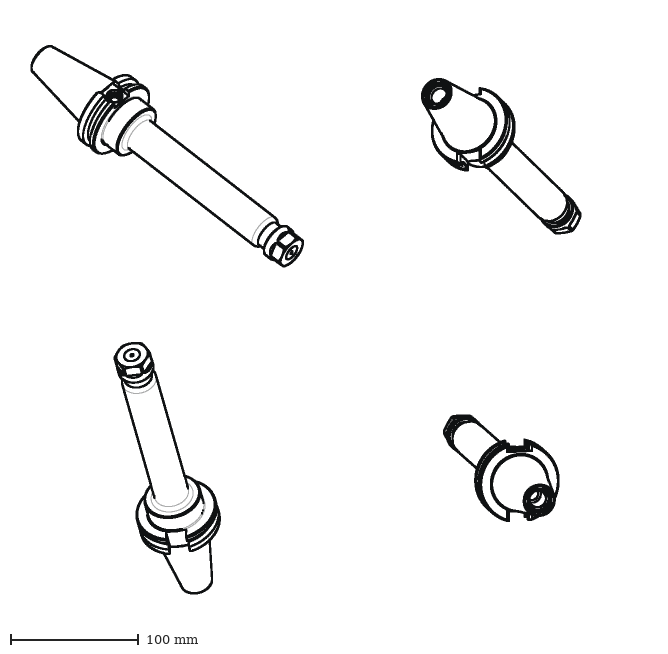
import cadquery as cq
import math


GAUGE_DIA = 44.5
TAPER_RATE = 7 / 24
TAPER_LENGTH = 68.1
TAPER_END_CHAMFER = 1.0

FLANGE_DIA = 63.3
FLANGE_FRONT = 1.0
FLANGE_BACK = 19.0
FLANGE_CHAMFER = 0.8
RELIEF_DIA = 46.1
GROOVE_CENTER = 11.0
GROOVE_MOUTH = 7.3
GROOVE_FLOOR = 3.8
GROOVE_DIA = 56.0

SLOT_WIDTH = 16.0
SLOT_FLOOR_TOP = 25.0
SLOT_FLOOR_BOTTOM = 22.5
SLOT_CHAMFER = 2.0

SIDE_HOLE_MOUTH_DIA = 12.5
SIDE_HOLE_DIA = 9.8
SIDE_HOLE_DEPTH = 4.0
SIDE_PILOT_DIA = 8.0
SIDE_PILOT_DEPTH = 6.8
DRILL_TIP_HALF_ANGLE = math.radians(59)

COLLAR_DIA = 44.5
COLLAR_END = 35.3
COLLAR_CHAMFER = 0.8
COLLAR_ROOT_FILLET = 0.8
SHANK_DIA = 27.5
SHANK_FILLET = 3.0
SHANK_END = 177.3
NECK_DIA = 22.0
SHANK_END_RADIUS = 4.0

NUT_START = 185.7
NUT_DIA = 28.0
NUT_ACROSS_FLATS = 25.0
NUT_FLAT_START = 193.8
LONG_FLAT_EXTRA = 1.5
LONG_FLAT_INDEX = 5
NUT_END = 271.5 - TAPER_LENGTH
NUT_BACK_CHAMFER = 0.8
NUT_FRONT_CHAMFER = 1.0
HEX_SIDES = 6

NOSE_DIA = 20.5
NOSE_END = 199.3

BORE_MOUTH_DIA = 18.7
BORE_DIA = 16.5
BORE_DEPTH = 5.0
THREAD_DIA = 13.3
THREAD_DEPTH = 24.5
THROUGH_DIA = 9.5

COLLET_BACK = 177.0
COLLET_BACK_DIA = 10.0
COLLET_HALF_ANGLE = math.radians(8)
COLLET_FRONT_DIA = 12.5
COLLET_FRONT_LAND = 1.0
COLLET_RELIEF_DIA = 5.7
COLLET_RELIEF_DEPTH = 10.9
TOOL_BORE_DIA = 2.28

COLLET_MAX_RADIUS = COLLET_BACK_DIA / 2 + (NOSE_END - COLLET_BACK) * math.tan(COLLET_HALF_ANGLE)


def revolve_about_x(points):
    """Turn a closed (x, radius) outline about the X axis."""
    return cq.Workplane("XY").polyline(points).close().revolve(360, (0, 0, 0), (1, 0, 0))


def cylinder_x(diameter, start, end):
    return cq.Workplane("YZ", origin=(start, 0, 0)).circle(diameter / 2).extrude(end - start)


def taper():
    end_radius = GAUGE_DIA / 2 - TAPER_LENGTH * TAPER_RATE / 2
    end = -TAPER_LENGTH
    return revolve_about_x([
        (end, 0),
        (end, end_radius - TAPER_END_CHAMFER),
        (end + TAPER_END_CHAMFER, end_radius + TAPER_END_CHAMFER * TAPER_RATE / 2),
        (0, GAUGE_DIA / 2),
        (FLANGE_FRONT, RELIEF_DIA / 2),
        (FLANGE_FRONT, 0),
    ])


def drive_slot(floor, side):
    """Cutter for one slot, open away from the axis; side is +1 for +Z and -1 for -Z."""
    half = SLOT_WIDTH / 2
    mouth = half + SLOT_CHAMFER
    chamfer_end = FLANGE_FRONT + SLOT_CHAMFER
    outline = [
        (FLANGE_FRONT, -mouth),
        (chamfer_end, -half),
        (FLANGE_BACK, -half),
        (FLANGE_BACK, half),
        (chamfer_end, half),
        (FLANGE_FRONT, mouth),
    ]
    plane = cq.Workplane("XY", origin=(0, 0, side * floor))
    return plane.polyline(outline).close().extrude(side * FLANGE_DIA / 2)


def side_hole():
    """Cutter for the countersunk, stepped blind hole below the +Z slot floor."""
    mouth_radius = SIDE_HOLE_MOUTH_DIA / 2
    hole_radius = SIDE_HOLE_DIA / 2
    pilot_radius = SIDE_PILOT_DIA / 2
    countersink = mouth_radius - hole_radius
    tip = pilot_radius / math.tan(DRILL_TIP_HALF_ANGLE)
    outline = [
        (0, 0),
        (mouth_radius, 0),
        (hole_radius, -countersink),
        (hole_radius, -SIDE_HOLE_DEPTH),
        (pilot_radius, -SIDE_HOLE_DEPTH),
        (pilot_radius, -SIDE_PILOT_DEPTH),
        (0, -SIDE_PILOT_DEPTH - tip),
    ]
    plane = cq.Workplane("XZ", origin=(GROOVE_CENTER, 0, SLOT_FLOOR_TOP))
    return plane.polyline(outline).close().revolve(360, (0, 0, 0), (0, 1, 0))


def flange():
    outer = FLANGE_DIA / 2
    inner = GROOVE_DIA / 2
    body = revolve_about_x([
        (FLANGE_FRONT, 0),
        (FLANGE_FRONT, outer - FLANGE_CHAMFER),
        (FLANGE_FRONT + FLANGE_CHAMFER, outer),
        (GROOVE_CENTER - GROOVE_MOUTH / 2, outer),
        (GROOVE_CENTER - GROOVE_FLOOR / 2, inner),
        (GROOVE_CENTER + GROOVE_FLOOR / 2, inner),
        (GROOVE_CENTER + GROOVE_MOUTH / 2, outer),
        (FLANGE_BACK - FLANGE_CHAMFER, outer),
        (FLANGE_BACK, outer - FLANGE_CHAMFER),
        (FLANGE_BACK, 0),
    ])
    body = body.cut(drive_slot(SLOT_FLOOR_TOP, 1)).cut(drive_slot(SLOT_FLOOR_BOTTOM, -1))
    return body.cut(side_hole())


def shank():
    """Collar, filleted shank with a rounded end, neck and nose."""
    shank_radius = SHANK_DIA / 2
    neck_radius = NECK_DIA / 2
    collar_radius = COLLAR_DIA / 2
    bow = 1 - math.sqrt(0.5)
    end_angle = math.acos(1 - (shank_radius - neck_radius) / SHANK_END_RADIUS)
    round_start = SHANK_END - SHANK_END_RADIUS * math.sin(end_angle)
    round_middle = (
        round_start + SHANK_END_RADIUS * math.sin(end_angle / 2),
        shank_radius - SHANK_END_RADIUS * (1 - math.cos(end_angle / 2)),
    )
    return (
        cq.Workplane("XY")
        .moveTo(FLANGE_BACK, 0)
        .lineTo(FLANGE_BACK, collar_radius + COLLAR_ROOT_FILLET)
        .threePointArc(
            (FLANGE_BACK + COLLAR_ROOT_FILLET * bow, collar_radius + COLLAR_ROOT_FILLET * bow),
            (FLANGE_BACK + COLLAR_ROOT_FILLET, collar_radius),
        )
        .lineTo(COLLAR_END - COLLAR_CHAMFER, collar_radius)
        .lineTo(COLLAR_END, collar_radius - COLLAR_CHAMFER)
        .lineTo(COLLAR_END, shank_radius + SHANK_FILLET)
        .threePointArc(
            (COLLAR_END + SHANK_FILLET * bow, shank_radius + SHANK_FILLET * bow),
            (COLLAR_END + SHANK_FILLET, shank_radius),
        )
        .lineTo(round_start, shank_radius)
        .threePointArc(round_middle, (SHANK_END, neck_radius))
        .lineTo(NUT_START, neck_radius)
        .lineTo(NUT_START, NOSE_DIA / 2)
        .lineTo(NOSE_END, NOSE_DIA / 2)
        .lineTo(NOSE_END, 0)
        .close()
        .revolve(360, (0, 0, 0), (1, 0, 0))
    )


def rear_bore():
    """Cutter for the countersunk, stepped bore that ends in a cone down to the through bore."""
    start = -TAPER_LENGTH
    countersink = (BORE_MOUTH_DIA - BORE_DIA) / 2
    thread_chamfer = (BORE_DIA - THREAD_DIA) / 2
    thread_end = start + THREAD_DEPTH
    cone_length = (THREAD_DIA - THROUGH_DIA) / 2 / math.tan(DRILL_TIP_HALF_ANGLE)
    return revolve_about_x([
        (start, 0),
        (start, BORE_MOUTH_DIA / 2),
        (start + countersink, BORE_DIA / 2),
        (start + BORE_DEPTH, BORE_DIA / 2),
        (start + BORE_DEPTH + thread_chamfer, THREAD_DIA / 2),
        (thread_end, THREAD_DIA / 2),
        (thread_end + cone_length, THROUGH_DIA / 2),
        (COLLET_BACK, THROUGH_DIA / 2),
        (COLLET_BACK, 0),
    ])


def collet_blank():
    """The solid envelope of the collet, which also shapes its seats in holder and nut."""
    front_radius = COLLET_FRONT_DIA / 2
    return revolve_about_x([
        (COLLET_BACK, 0),
        (COLLET_BACK, COLLET_BACK_DIA / 2),
        (NOSE_END, COLLET_MAX_RADIUS),
        (NUT_END - COLLET_FRONT_LAND, front_radius),
        (NUT_END, front_radius),
        (NUT_END, 0),
    ])


def make_holder():
    return taper().union(flange()).union(shank()).cut(rear_bore()).cut(collet_blank())


def flat_cutter(start):
    """Cutter for the +Z flat of the nut, with a 45 degree ramp at its inner end."""
    height = NUT_DIA / 2
    outline = [
        (start, 0),
        (start - height, height),
        (NUT_END, height),
        (NUT_END, 0),
    ]
    plane = cq.Workplane("XZ", origin=(0, 0, NUT_ACROSS_FLATS / 2))
    return plane.polyline(outline).close().extrude(NUT_DIA / 2, both=True)


def make_nut():
    radius = NUT_DIA / 2
    apothem = NUT_ACROSS_FLATS / 2
    body = revolve_about_x([
        (NUT_START, 0),
        (NUT_START, radius - NUT_BACK_CHAMFER),
        (NUT_START + NUT_BACK_CHAMFER, radius),
        (NUT_END - NUT_FRONT_CHAMFER, radius),
        (NUT_END, apothem),
        (NUT_END, 0),
    ])
    for index in range(HEX_SIDES):
        start = NUT_FLAT_START - (LONG_FLAT_EXTRA if index == LONG_FLAT_INDEX else 0)
        body = body.cut(flat_cutter(start).rotate((0, 0, 0), (1, 0, 0), index * 360 / HEX_SIDES))
    return body.cut(cylinder_x(NOSE_DIA, NUT_START, NOSE_END)).cut(collet_blank())


def make_collet():
    relief_end = COLLET_BACK + COLLET_RELIEF_DEPTH
    return (
        collet_blank()
        .cut(cylinder_x(COLLET_RELIEF_DIA, COLLET_BACK, relief_end))
        .cut(cylinder_x(TOOL_BORE_DIA, COLLET_BACK, NUT_END))
    )


holder = make_holder()
nut = make_nut()
collet = make_collet()

result = cq.Compound.makeCompound([holder.val(), nut.val(), collet.val()])